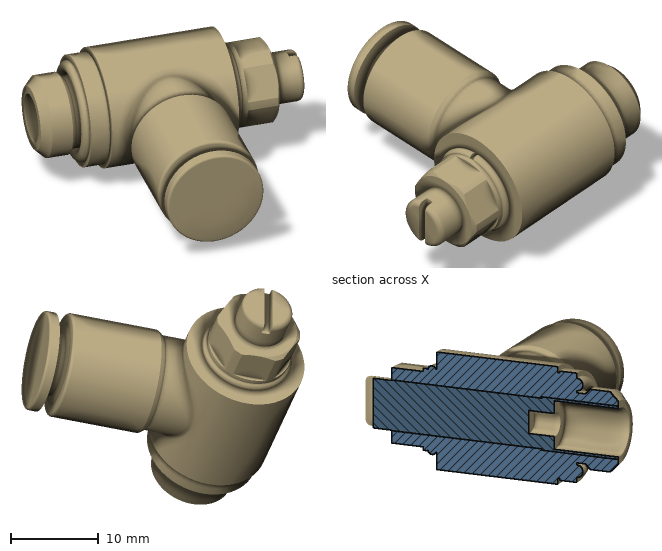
import cadquery as cq
import math


overall_width = 29.7
barrel_diameter = 14.0
barrel_radius = barrel_diameter / 2
barrel_bottom_y = -7.5
barrel_top_y = 7.6

arm_radius = 5.5
arm_root_fillet = 0.5
arm_end_x = 8.8
shoulder_start_x = 9.05
shoulder_start_radius = 5.7
socket_radius = 6.0
socket_start_x = 9.5
socket_end_x = 19.97
socket_fillet = 0.32
face_cone_radius = 4.67
face_cone_height = 0.3
collar_neck_radius = 3.68
collar_neck_taper = 0.15
collar_start_x = 21.5
collar_radius = 5.75
collar_end_x = overall_width - barrel_radius
collar_fillet = 0.3

overall_length = 31.75
thread_tip_y = -15.02
thread_tip_radius = 3.75
thread_radius = 4.8
thread_chamfer_y = -13.97
thread_start_y = -11.5
undercut_radius = 4.2
undercut_y = -10.9
seal_center_radius = 5.15
seal_wire_radius = 0.75
flange_radius = 6.5
flange_bottom_y = -9.85
flange_top_y = -7.65
flange_neck_radius = 6.3

ring_center_radius = 4.73
ring_wire_diameter = 1.1
ring_wire_radius = ring_wire_diameter / 2
ring_gap = 0.55
ring_center_y = barrel_top_y + ring_wire_radius
ring_top_y = barrel_top_y + ring_wire_diameter
hex_across_flats = 9.0
hex_round_diameter = 9.8
hex_round_radius = hex_round_diameter / 2
hex_bottom_y = 9.27
hex_chamfer_y = 12.9
hex_top_y = 13.18
hex_top_radius = 4.45

knob_radius = 3.0
knob_top_y = thread_tip_y + overall_length
knob_fillet = 0.65
slot_width = 0.95
slot_depth = 1.25
sleeve_radius = 3.15
sleeve_length = 9.52
sleeve_top_y = thread_tip_y + sleeve_length
sleeve_bore_radius = 2.85
sleeve_bore_depth = 7.95
sleeve_bore_end_y = thread_tip_y + sleeve_bore_depth
center_hole_radius = 1.35
center_hole_depth = 3.18


def disc_y(radius, start_y, end_y):
    """Cylinder on the Y axis between two levels."""
    return cq.Workplane("XZ", origin=(0, end_y, 0)).circle(radius).extrude(end_y - start_y)


def turn_about_y(profile):
    return profile.close().revolve(360, (0, 0, 0), (0, 1, 0))


def wire_ring(center_radius, wire_radius, center_y):
    """Ring of round wire about the Y axis."""
    section = cq.Workplane("XY").center(center_radius, center_y).circle(wire_radius)
    return section.revolve(360, (-center_radius, 0, 0), (-center_radius, 1, 0))


def make_arm():
    """Arm, socket and release collar, turned about the X axis."""
    profile = (
        cq.Workplane("XY")
        .lineTo(0, arm_radius)
        .lineTo(arm_end_x, arm_radius)
        .lineTo(shoulder_start_x, shoulder_start_radius)
        .lineTo(socket_start_x, socket_radius)
        .lineTo(socket_end_x - socket_fillet, socket_radius)
        .radiusArc((socket_end_x, socket_radius - socket_fillet), socket_fillet)
        .lineTo(socket_end_x, face_cone_radius)
        .lineTo(socket_end_x + face_cone_height, collar_neck_radius)
        .lineTo(collar_start_x - collar_neck_taper, collar_neck_radius)
        .lineTo(collar_start_x, collar_neck_radius + collar_neck_taper)
        .lineTo(collar_start_x, collar_radius)
        .lineTo(collar_end_x - collar_fillet, collar_radius)
        .radiusArc((collar_end_x, collar_radius - collar_fillet), collar_fillet)
        .lineTo(collar_end_x, 0)
        .close()
    )
    return profile.revolve(360, (0, 0, 0), (1, 0, 0))


def make_barrel_with_arm():
    """Barrel joined to the arm, with the curved root between them rounded."""
    barrel = disc_y(barrel_radius, barrel_bottom_y, barrel_top_y)
    joined = barrel.union(make_arm())
    root_region = cq.selectors.BoxSelector(
        (0, -barrel_radius, -barrel_radius), (barrel_radius, barrel_radius, barrel_radius)
    )
    root_edges = joined.edges(root_region).edges("not(%CIRCLE or %LINE)")
    return root_edges.fillet(arm_root_fillet)


def make_threaded_end():
    """Threaded plug and flange, with the seal ring in the corner between them."""
    profile = (
        cq.Workplane("XY")
        .moveTo(0, thread_tip_y)
        .lineTo(thread_tip_radius, thread_tip_y)
        .lineTo(thread_radius, thread_chamfer_y)
        .lineTo(thread_radius, thread_start_y)
        .lineTo(undercut_radius, undercut_y)
        .lineTo(undercut_radius, flange_bottom_y)
        .lineTo(flange_radius, flange_bottom_y)
        .lineTo(flange_radius, flange_top_y)
        .lineTo(flange_neck_radius, flange_top_y)
        .lineTo(flange_neck_radius, barrel_bottom_y)
        .lineTo(0, barrel_bottom_y)
    )
    seal = wire_ring(seal_center_radius, seal_wire_radius, flange_bottom_y)
    return turn_about_y(profile).union(seal)


def make_hex_end():
    """Ring seat and hexagon whose corners are rounded to one radius."""
    profile = (
        cq.Workplane("XY")
        .moveTo(0, barrel_top_y)
        .lineTo(ring_center_radius, barrel_top_y)
        .lineTo(ring_center_radius, ring_top_y)
        .lineTo(hex_round_radius, ring_top_y)
        .lineTo(hex_round_radius, hex_chamfer_y)
        .lineTo(hex_top_radius, hex_top_y)
        .lineTo(0, hex_top_y)
    )
    across_corners = hex_across_flats / math.cos(math.pi / 6)
    outside_flats = (
        cq.Workplane("XZ", origin=(0, hex_top_y, 0))
        .circle(across_corners)
        .polygon(6, across_corners)
        .extrude(hex_top_y - hex_bottom_y)
    )
    return turn_about_y(profile).cut(outside_flats)


def make_split_ring():
    """Wire ring resting on the barrel, open at its +Z side."""
    ring = wire_ring(ring_center_radius, ring_wire_radius, ring_center_y)
    opening = (
        cq.Workplane("XY")
        .center(0, ring_center_y)
        .rect(ring_gap, 3 * ring_wire_radius)
        .extrude(barrel_radius)
    )
    return ring.cut(opening)


def make_valve_body():
    body = make_barrel_with_arm().union(make_threaded_end())
    body = body.union(make_hex_end()).union(make_split_ring())
    sleeve_seat = disc_y(sleeve_radius, thread_tip_y, sleeve_top_y)
    stem_hole = disc_y(knob_radius, sleeve_top_y, hex_top_y)
    return body.cut(sleeve_seat).cut(stem_hole)


def make_needle():
    """Slotted knob and stem that widen into an open sleeve at the thread tip."""
    stem = disc_y(knob_radius, sleeve_top_y, knob_top_y)
    stem = stem.faces(">Y").edges().fillet(knob_fillet)
    needle = stem.union(disc_y(sleeve_radius, thread_tip_y, sleeve_top_y))

    sleeve_bore = disc_y(sleeve_bore_radius, thread_tip_y, sleeve_bore_end_y)
    center_hole = disc_y(center_hole_radius, sleeve_bore_end_y, sleeve_bore_end_y + center_hole_depth)
    slot = (
        cq.Workplane("XY", origin=(0, knob_top_y - slot_depth / 2, 0))
        .box(slot_width, slot_depth, 2 * sleeve_radius)
    )
    return needle.cut(sleeve_bore).cut(center_hole).cut(slot)


valve_body = make_valve_body()
needle = make_needle()

result = cq.Compound.makeCompound([valve_body.solids().val(), needle.solids().val()])